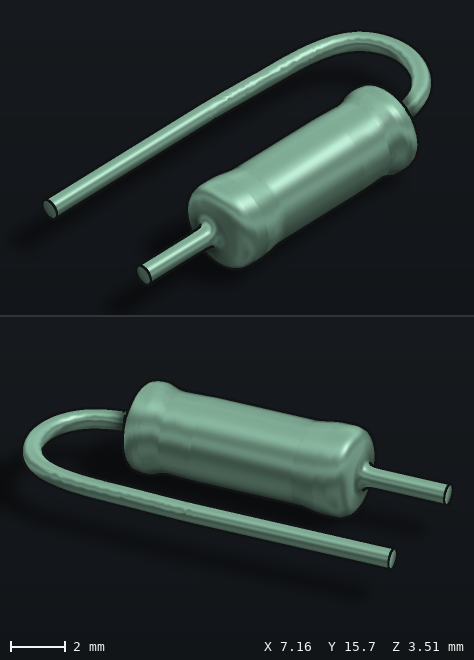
import cadquery as cq


lead_radius = 0.401
lead_pitch = 5.0
straight_length = 7.7
bend_peak = 15.73 - lead_radius
bend_peak_x = -2.35

body_front = 3.45
body_rear = 12.47
collar_length = 0.5
collar_radius = 0.9
cap_radius = 1.754
waist_radius = 1.62
neck_radius = 1.57

front_rim_length = 0.68
rear_rim_length = 0.65
front_cap_end = 4.64
front_taper_end = 5.66
rear_cap_start = 11.64
rear_taper_start = 10.9
waist_end = 9.6

front_collar_start = body_front - collar_length
rear_collar_end = body_rear + collar_length


def make_body():
    """Revolve the coated body, its end caps and the flared collars."""
    along_axis = (0, 1)
    outward = (1, 0)
    inward = (-1, 0)
    backward = (0, -1)
    profile = (
        cq.Workplane("XY")
        .moveTo(0, front_collar_start)
        .lineTo(lead_radius, front_collar_start)
        .spline([(collar_radius, body_front)], tangents=[along_axis, outward], includeCurrent=True)
        .spline(
            [(cap_radius, body_front + front_rim_length)],
            tangents=[outward, along_axis],
            includeCurrent=True,
        )
        .lineTo(cap_radius, front_cap_end)
        .spline(
            [(waist_radius, front_taper_end)],
            tangents=[along_axis, along_axis],
            includeCurrent=True,
        )
        .lineTo(waist_radius, waist_end)
        .lineTo(neck_radius, rear_taper_start)
        .spline(
            [(cap_radius, rear_cap_start)],
            tangents=[along_axis, along_axis],
            includeCurrent=True,
        )
        .lineTo(cap_radius, body_rear - rear_rim_length)
        .spline([(collar_radius, body_rear)], tangents=[along_axis, inward], includeCurrent=True)
        .spline([(lead_radius, rear_collar_end)], tangents=[inward, along_axis], includeCurrent=True)
        .lineTo(0, rear_collar_end)
        .close()
    )
    return profile.revolve(360, (0, 0), backward)


def make_front_lead():
    """Straight lead reaching into the front of the body."""
    return cq.Workplane("XZ").circle(lead_radius).extrude(-body_front)


def make_bent_lead():
    """Lead that runs straight, loops over and enters the rear of the body."""
    loop_points = [
        (-4.89, 10.8),
        (-4.73, 13.0),
        (-4.1, 14.57),
        (bend_peak_x, bend_peak),
        (-0.49, 14.28),
        (-0.05, rear_collar_end),
        (0, body_rear),
    ]
    path = (
        cq.Workplane("XY")
        .moveTo(-lead_pitch, 0)
        .lineTo(-lead_pitch, straight_length)
        .spline(loop_points, tangents=[(0, 1), (0, -1)], includeCurrent=True)
    )
    section = cq.Workplane("XZ").center(-lead_pitch, 0).circle(lead_radius)
    return section.sweep(path)


result = make_body().union(make_front_lead()).union(make_bent_lead())